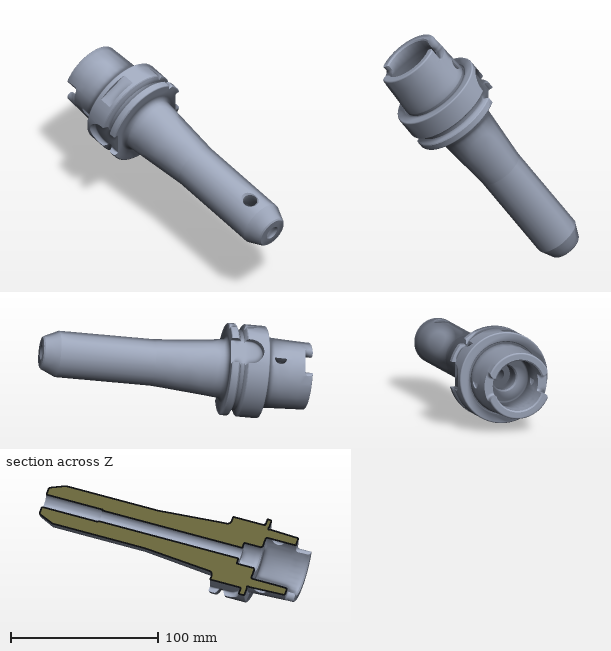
import cadquery as cq
import math


total_length = 184.4
flange_start = 31.7
flange_end = 57.9
neck_end = 107.7
nose_start = 173.5

taper_root_radius = 48.3 / 2
taper_tip_radius = 22.9
tip_round = 1.1
undercut_start = 30.0
undercut_bottom = 31.0
undercut_radius = 24.0
undercut_face_depth = 0.4
undercut_face_radius = 24.9
undercut_lip_radius = 25.5

flange_radius = 63.0 / 2
flange_round = 1.0
groove_center = 49.8
groove_base_width = 2.5
groove_base_radius = 27.5
groove_edge_half_width = 3.0
groove_edge_chamfer = 0.5
groove_step_half_width = 1.8
groove_step_radius = 28.5

neck_root_radius = 40.0 / 2
neck_fillet = 2.8
body_radius = 31.7 / 2
nose_radius = 11.5
nose_edge_chamfer = 1.0

mouth_radius = 34.0 / 2
mouth_chamfer = 1.0
mouth_flare = 0.4
flare_depth = 12.4
floor_depth = 31.3
floor_radius = 31.7 / 2
tube_bore_radius = 19.0 / 2
tube_thread_radius = 17.0 / 2
tube_chamfer = tube_bore_radius - tube_thread_radius
tube_bore_depth = 44.3
coolant_radius = 8.5 / 2
tool_bore_radius = 10.0 / 2
tool_bore_depth = 40.0

tenon_half_width = 6.0
tenon_flat_height = 20.7
tenon_edge_radius = 3.7
tenon_floor_fillet = 1.7
selection_margin = 0.2
tenon_slot_depths = {-1: 10.1, 1: 5.5}

cross_hole_x = 22.9
cross_hole_diameter = 8.5

flange_slot_center = 45.0
flange_slot_floor = 26.4
flange_slot_fillet = 0.7
flange_slot_widths = {-1: 20.0, 1: 18.0}
notch_corner = 20.3
notch_radius = 9.0
flat_center_x = 39.5
flat_width = 8.7
flat_chord = 22.9

screw_x = 162.0
screw_diameter = 9.8
screw_mouth_diameter = 12.7


def revolve_about_x(profile):
    return profile.close().revolve(360, (0, 0, 0), (1, 0, 0))


def arc_inset(radius):
    """Distance, along each axis, from a square corner to the middle of its rounding arc."""
    return radius * (1 - math.sqrt(0.5))


def outer_body():
    half_base = groove_base_width / 2
    edge_top = groove_edge_half_width + groove_edge_chamfer
    edge_radius = flange_radius - groove_edge_chamfer
    neck_start = flange_end + neck_fillet
    tip_inset = arc_inset(tip_round)
    flange_inset = arc_inset(flange_round)
    neck_inset = arc_inset(neck_fillet)
    profile = (
        cq.Workplane("XY")
        .moveTo(0, 0)
        .lineTo(0, taper_tip_radius - tip_round)
        .threePointArc((tip_inset, taper_tip_radius - tip_inset), (tip_round, taper_tip_radius))
        .lineTo(undercut_start, taper_root_radius)
        .lineTo(undercut_bottom, undercut_radius)
        .lineTo(flange_start + undercut_face_depth, undercut_radius)
        .lineTo(flange_start + undercut_face_depth, undercut_face_radius)
        .lineTo(flange_start, undercut_lip_radius)
        .lineTo(flange_start, flange_radius - flange_round)
        .threePointArc(
            (flange_start + flange_inset, flange_radius - flange_inset),
            (flange_start + flange_round, flange_radius),
        )
        .lineTo(groove_center - edge_top, flange_radius)
        .lineTo(groove_center - groove_edge_half_width, edge_radius)
        .lineTo(groove_center - groove_step_half_width, groove_step_radius)
        .lineTo(groove_center - half_base, groove_base_radius)
        .lineTo(groove_center + half_base, groove_base_radius)
        .lineTo(groove_center + groove_step_half_width, groove_step_radius)
        .lineTo(groove_center + groove_edge_half_width, edge_radius)
        .lineTo(groove_center + edge_top, flange_radius)
        .lineTo(flange_end - flange_round, flange_radius)
        .threePointArc(
            (flange_end - flange_inset, flange_radius - flange_inset),
            (flange_end, flange_radius - flange_round),
        )
        .lineTo(flange_end, neck_root_radius + neck_fillet)
        .threePointArc(
            (flange_end + neck_inset, neck_root_radius + neck_inset),
            (neck_start, neck_root_radius),
        )
        .lineTo(neck_end, body_radius)
        .lineTo(nose_start, body_radius)
        .lineTo(total_length - nose_edge_chamfer, nose_radius)
        .lineTo(total_length, nose_radius - nose_edge_chamfer)
        .lineTo(total_length, 0)
    )
    return revolve_about_x(profile)


def inner_bores():
    floor_fillet = mouth_radius - floor_radius
    floor_inset = arc_inset(floor_fillet)
    flare_radius = mouth_radius + mouth_flare
    profile = (
        cq.Workplane("XY")
        .moveTo(0, 0)
        .lineTo(0, flare_radius + mouth_chamfer)
        .lineTo(mouth_chamfer, flare_radius)
        .lineTo(flare_depth, mouth_radius)
        .lineTo(floor_depth - floor_fillet, mouth_radius)
        .threePointArc(
            (floor_depth - floor_inset, mouth_radius - floor_inset),
            (floor_depth, floor_radius),
        )
        .lineTo(floor_depth, tube_bore_radius)
        .lineTo(floor_depth + tube_chamfer, tube_thread_radius)
        .lineTo(tube_bore_depth, tube_thread_radius)
        .lineTo(tube_bore_depth, coolant_radius)
        .lineTo(total_length - tool_bore_depth, coolant_radius)
        .lineTo(total_length - tool_bore_depth, tool_bore_radius)
        .lineTo(total_length, tool_bore_radius)
        .lineTo(total_length, 0)
    )
    return revolve_about_x(profile)


def tenon_slot(side, depth):
    """Slot at the taper mouth, flaring outward with rounded edges; side is the sign of Y."""
    arc_start = tenon_flat_height - tenon_edge_radius
    arc_end = tenon_half_width + tenon_edge_radius
    inset = arc_inset(tenon_edge_radius)
    outside = flange_radius
    wide = tenon_half_width * 3
    slot = (
        cq.Workplane("YZ")
        .moveTo(0, -tenon_half_width)
        .lineTo(side * arc_start, -tenon_half_width)
        .threePointArc(
            (side * (tenon_flat_height - inset), -tenon_half_width - inset),
            (side * tenon_flat_height, -arc_end),
        )
        .lineTo(side * tenon_flat_height, -wide)
        .lineTo(side * outside, -wide)
        .lineTo(side * outside, wide)
        .lineTo(side * tenon_flat_height, wide)
        .lineTo(side * tenon_flat_height, arc_end)
        .threePointArc(
            (side * (tenon_flat_height - inset), tenon_half_width + inset),
            (side * arc_start, tenon_half_width),
        )
        .lineTo(0, tenon_half_width)
        .close()
        .extrude(depth)
    )
    wall_feet = cq.selectors.BoxSelector(
        (depth - selection_margin, -tenon_flat_height - selection_margin, -arc_end - selection_margin),
        (depth + selection_margin, tenon_flat_height + selection_margin, arc_end + selection_margin),
        boundingbox=True,
    )
    return slot.edges(wall_feet).edges("not |Z").fillet(tenon_floor_fillet)


def cross_hole():
    """Half-round hole below the axis plane, through both sides of the taper wall."""
    radius = cross_hole_diameter / 2
    return (
        cq.Workplane("XZ")
        .moveTo(cross_hole_x - radius, 0)
        .threePointArc((cross_hole_x, -radius), (cross_hole_x + radius, 0))
        .close()
        .extrude(flange_radius, both=True)
    )


def round_ended_pocket(width, z_center, floor, side):
    """Pocket open toward +X and toward one Y side, with a round end and a flat floor."""
    radius = width / 2
    open_end = flange_end + radius
    return (
        cq.Workplane("XZ", origin=(0, side * floor, 0))
        .moveTo(open_end, z_center - radius)
        .lineTo(flange_slot_center, z_center - radius)
        .threePointArc((flange_slot_center - radius, z_center), (flange_slot_center, z_center + radius))
        .lineTo(open_end, z_center + radius)
        .close()
        .extrude(-side * flange_radius)
    )


def flange_slot(side, width):
    pocket = round_ended_pocket(width, 0, flange_slot_floor, side)
    inner_face = "<Y" if side > 0 else ">Y"
    return pocket.faces(inner_face).edges("not >X").fillet(flange_slot_fillet)


def flange_flat():
    """Flat cut along a chord of the flange that starts at Y = 0 and leans toward -Y."""
    distance = math.sqrt(flange_radius**2 - (flat_chord / 2) ** 2)
    tilt = math.degrees(math.asin(flat_chord / 2 / flange_radius))
    return (
        cq.Workplane("XY")
        .box(flat_width, 2 * flat_chord, flange_radius, centered=(True, True, False))
        .translate((flat_center_x, 0, distance))
        .rotate((0, 0, 0), (1, 0, 0), tilt)
    )


def screw_hole():
    """Radial hole from the top into the tool bore, with a 45 degree mouth chamfer."""
    chamfer = (screw_mouth_diameter - screw_diameter) / 2
    return (
        cq.Workplane("XY")
        .center(screw_x, 0)
        .circle(screw_diameter / 2)
        .extrude(body_radius)
        .faces(">Z")
        .workplane()
        .circle(screw_mouth_diameter / 2)
        .workplane(offset=-chamfer)
        .circle(screw_diameter / 2)
        .loft(combine=True)
    )


result = outer_body().cut(inner_bores())
for side, depth in tenon_slot_depths.items():
    result = result.cut(tenon_slot(side, depth))
result = result.cut(cross_hole())
for side, width in flange_slot_widths.items():
    result = result.cut(flange_slot(side, width))
result = result.cut(round_ended_pocket(2 * notch_radius, notch_corner + notch_radius, notch_corner, 1))
result = result.cut(flange_flat())
result = result.cut(screw_hole())